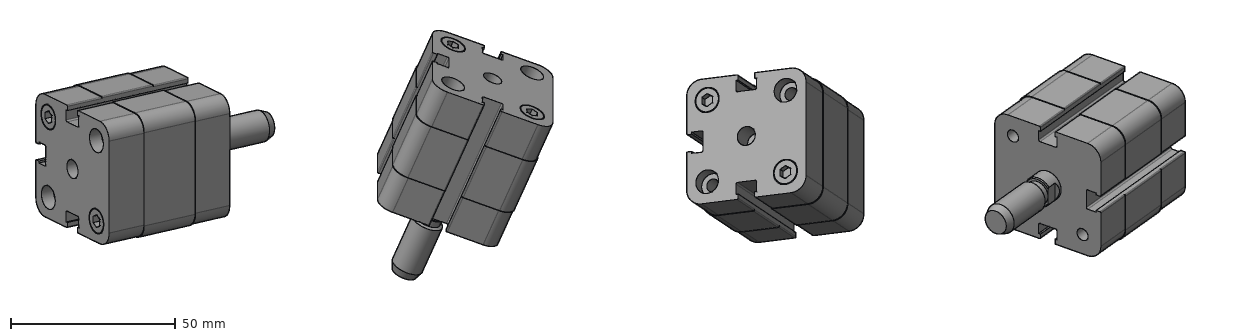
import cadquery as cq
import math

body_width = 40.1
cap_inset = 0.2
cap_width = body_width - 2 * cap_inset
corner_radius = 5.0
cap_length = 12.8
tube_length = 18.9
body_length = 2 * cap_length + tube_length
total_length = 72.0

slot_mouth = 5.5
slot_width = 6.8
slot_depth = 5.6
lip_height = 1.95
lip_round = 0.35
slot_floor_round = 0.5

corner_spacing = 26.0
corner_offset = corner_spacing / 2
mount_hole_diameter = 4.1
counterbore_diameter = 7.5
counterbore_depth = 4.5
screw_bore_diameter = 8.0
screw_head_diameter = 7.5
screw_gap_depth = 4.0
socket_across_flats = 3.5
socket_depth = 2.4

centre_hole_diameter = 6.0
centre_hole_depth = 8.0

rod_diameter = 10.0
neck_diameter = 7.9
tip_taper_length = 2.7
thread_end = 19.0
neck_start = 19.45
shank_start = 21.95
shank_chamfer = 0.4
shank_chamfer_height = 0.3
flat_width = 8.0
flat_end = 25.55


def rounded_block(width, length, start):
    """Square bar along +Y from y = start, with rounded long edges."""
    return (
        cq.Workplane("XY")
        .box(width, length, width, centered=(True, False, True))
        .edges("|Y")
        .fillet(corner_radius)
        .translate((0, start, 0))
    )


def cylinder(diameter, length, x=0.0, z=0.0):
    """Cylinder along +Y from the front face."""
    return cq.Workplane("XZ").center(x, z).circle(diameter / 2).extrude(-length)


def slot_cutter(width, start, length):
    """Slot cutter opening to +Z in a stretch of body of the given width."""
    top = width / 2
    floor = body_width / 2 - slot_depth
    lip_bottom = body_width / 2 - lip_height
    half_mouth = slot_mouth / 2
    half_width = slot_width / 2
    half_flare = half_mouth + lip_round
    sag = lip_round * (1 - math.sqrt(0.5))
    half_floor = half_width - slot_floor_round
    floor_sag = slot_floor_round * (1 - math.sqrt(0.5))
    return (
        cq.Workplane("XZ", origin=(0, start, 0))
        .moveTo(-half_flare, top)
        .threePointArc((-half_mouth - sag, top - sag), (-half_mouth, top - lip_round))
        .lineTo(-half_mouth, lip_bottom)
        .lineTo(-half_width, lip_bottom)
        .lineTo(-half_width, floor + slot_floor_round)
        .threePointArc((-half_width + floor_sag, floor + floor_sag), (-half_floor, floor))
        .lineTo(half_floor, floor)
        .threePointArc((half_width - floor_sag, floor + floor_sag), (half_width, floor + slot_floor_round))
        .lineTo(half_width, lip_bottom)
        .lineTo(half_mouth, lip_bottom)
        .lineTo(half_mouth, top - lip_round)
        .threePointArc((half_mouth + sag, top - sag), (half_flare, top))
        .close()
        .extrude(-length)
    )


def make_body():
    """Three body sections in line, each with its slots."""
    sections = (
        (cap_width, 0.0, cap_length),
        (body_width, cap_length, tube_length),
        (cap_width, cap_length + tube_length, cap_length),
    )
    body = None
    for width, start, length in sections:
        section = rounded_block(width, length, start)
        cutter = slot_cutter(width, start, length)
        for angle in (0, 180, -90):
            section = section.cut(cutter.rotate((0, 0, 0), (0, 1, 0), angle))
        body = section if body is None else body.union(section)
    return body


def cut_mount_holes(body):
    """Counterbored through holes at two opposite corners."""
    for side in (-1, 1):
        place = side * corner_offset
        body = body.cut(cylinder(mount_hole_diameter, body_length, place, place))
        body = body.cut(cylinder(counterbore_diameter, counterbore_depth, place, place))
    return body


def add_screws(body):
    """Flush socket-head screws at the other two corners, each in a clearance bore."""
    socket_across_corners = socket_across_flats / math.cos(math.pi / 6)
    for side in (-1, 1):
        x = side * corner_offset
        z = -side * corner_offset
        gap = cylinder(screw_bore_diameter, screw_gap_depth, x, z)
        gap = gap.cut(cylinder(screw_head_diameter, screw_gap_depth, x, z))
        socket = (
            cq.Workplane("XZ")
            .polygon(6, socket_across_corners)
            .extrude(-socket_depth)
            .rotate((0, 0, 0), (0, 1, 0), 30)
            .translate((x, 0, z))
        )
        body = body.cut(gap).cut(socket)
    return body


def make_rod():
    """Turned rod with a tapered tip, an undercut neck and two wrench flats."""
    rod_radius = rod_diameter / 2
    neck_radius = neck_diameter / 2
    profile = [
        (0, total_length),
        (neck_radius, total_length),
        (rod_radius, total_length - tip_taper_length),
        (rod_radius, total_length - thread_end),
        (neck_radius, total_length - neck_start),
        (neck_radius, total_length - shank_start),
        (rod_radius - shank_chamfer_height, total_length - shank_start),
        (rod_radius, total_length - shank_start - shank_chamfer),
        (rod_radius, body_length),
        (0, body_length),
    ]
    rod = cq.Workplane("XY").polyline(profile).close().revolve(360, (0, 0, 0), (0, 1, 0))

    flat_x = flat_width / 2
    run_out = rod_radius - flat_x
    flat_start_y = total_length - shank_start
    flat_end_y = total_length - flat_end
    flat = (
        cq.Workplane("XY")
        .polyline([
            (flat_x, flat_start_y),
            (rod_radius, flat_start_y),
            (rod_radius, flat_end_y - run_out),
            (flat_x, flat_end_y),
        ])
        .close()
        .extrude(rod_radius, both=True)
    )
    return rod.cut(flat).cut(flat.mirror("YZ"))


body = add_screws(cut_mount_holes(make_body()))
body = body.cut(cylinder(centre_hole_diameter, centre_hole_depth))
result = body.union(make_rod())